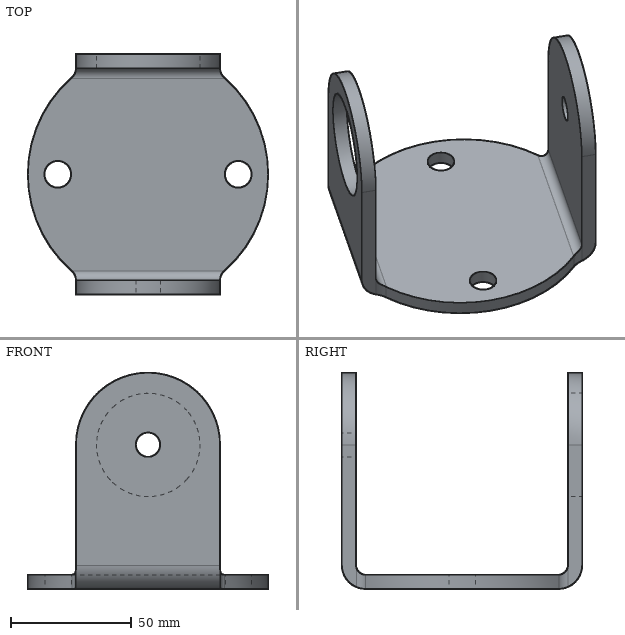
import cadquery as cq
import math

length = 100.0
base_width = 100.0
height = 90.0
thickness = 6.0

inner_bend_radius = 4.0
outer_bend_radius = inner_bend_radius + thickness

flange_width = 60.0
flange_half_width = flange_width / 2
hole_height = height - flange_half_width
pivot_hole_diameter = 10.0
large_hole_diameter = 43.0

mount_hole_diameter = 11.0
mount_hole_spacing = 75.0
corner_radius = 5.0

half_length = length / 2
half_base = base_width / 2
inner_half_length = half_length - thickness


def make_channel():
    """U-shaped channel, bent from sheet and as wide as the base."""
    outer = (
        cq.Workplane("XY")
        .box(base_width, length, height, centered=(True, True, False))
        .edges("|X and <Z")
        .fillet(outer_bend_radius)
    )
    inner = (
        cq.Workplane("XY", origin=(0, 0, thickness))
        .box(base_width, 2 * inner_half_length, height, centered=(True, True, False))
        .edges("|X and <Z")
        .fillet(inner_bend_radius)
    )
    return outer.cut(inner)


def make_plan_outline():
    """Solid prism with the plan outline: straight flange ends, blended into two bulging sides."""
    bulge_rise = half_base - flange_half_width
    blend_to_bulge = (inner_half_length**2 + bulge_rise**2) / (2 * bulge_rise)
    bulge_radius = blend_to_bulge - corner_radius
    bulge_center_x = half_base - bulge_radius

    blend_center_x = flange_half_width + corner_radius
    share = bulge_radius / blend_to_bulge
    tangent_x = bulge_center_x + share * (blend_center_x - bulge_center_x)
    tangent_y = share * inner_half_length

    blend_angle = math.atan2(inner_half_length, blend_center_x - bulge_center_x)
    middle_x = blend_center_x - corner_radius * math.cos(blend_angle / 2)
    middle_y = inner_half_length - corner_radius * math.sin(blend_angle / 2)

    outline = cq.Workplane("XY").moveTo(flange_half_width, -half_length)
    for side in (1, -1):
        outline = (
            outline.lineTo(side * flange_half_width, -side * inner_half_length)
            .threePointArc((side * middle_x, -side * middle_y), (side * tangent_x, -side * tangent_y))
            .threePointArc((side * half_base, 0), (side * tangent_x, side * tangent_y))
            .threePointArc(
                (side * middle_x, side * middle_y), (side * flange_half_width, side * inner_half_length)
            )
            .lineTo(side * flange_half_width, side * half_length)
            .lineTo(-side * flange_half_width, side * half_length)
        )
    return outline.close().extrude(height)


def make_flange_outline():
    """Solid prism along Y: full-width block below, round-topped flange outline above."""
    return (
        cq.Workplane("XZ", origin=(0, half_length, 0))
        .moveTo(-half_base, 0)
        .lineTo(half_base, 0)
        .lineTo(half_base, outer_bend_radius)
        .lineTo(flange_half_width, outer_bend_radius)
        .lineTo(flange_half_width, hole_height)
        .threePointArc((0, height), (-flange_half_width, hole_height))
        .lineTo(-flange_half_width, outer_bend_radius)
        .lineTo(-half_base, outer_bend_radius)
        .close()
        .extrude(length)
    )


def flange_hole(diameter, outer_face_y):
    """Cutter along Y through the flange whose outer face lies at the given Y."""
    inward = -math.copysign(thickness, outer_face_y)
    hole_plane = cq.Plane(origin=(0, outer_face_y, hole_height), xDir=(1, 0, 0), normal=(0, 1, 0))
    return cq.Workplane(hole_plane).circle(diameter / 2).extrude(inward)


def mount_holes():
    """Cutters for the two mounting holes through the base."""
    return (
        cq.Workplane("XY")
        .pushPoints([(-mount_hole_spacing / 2, 0), (mount_hole_spacing / 2, 0)])
        .circle(mount_hole_diameter / 2)
        .extrude(thickness)
    )


result = (
    make_channel()
    .intersect(make_plan_outline())
    .intersect(make_flange_outline())
    .cut(flange_hole(pivot_hole_diameter, -half_length))
    .cut(flange_hole(large_hole_diameter, half_length))
    .cut(mount_holes())
)